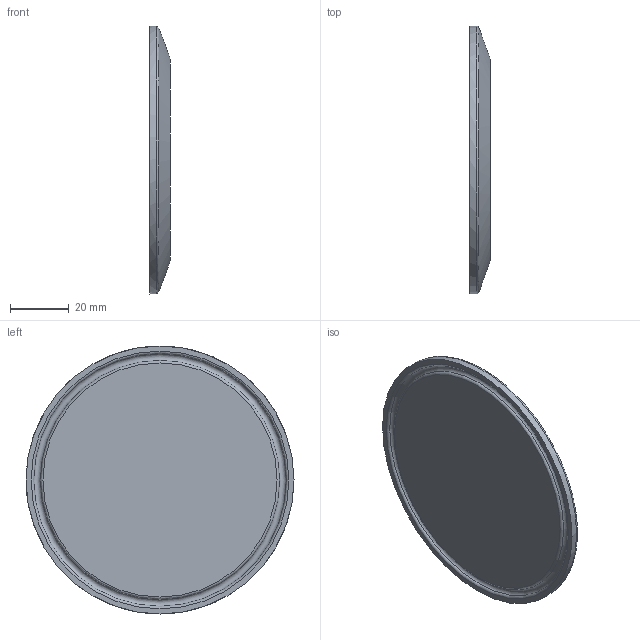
import cadquery as cq
import math

outer_radius = 91.0 / 2
thickness = 7.0

lip_thickness = 2.9
cone_angle = math.radians(20.0)
back_radius = outer_radius - (thickness - lip_thickness) / math.tan(cone_angle)
rim_fillet_radius = 1.0

groove_outer_radius = 87.5 / 2
groove_inner_radius = 79.5 / 2
groove_depth = 1.65
shoulder_radius = 0.85


def revolve_about_x(section):
    """Turn a closed half section, drawn in X and radius, fully about the X axis."""
    return section.revolve(360, (0, 0, 0), (1, 0, 0))


def make_disc():
    """Disc with a cylindrical lip, a rounded rim and a conical back."""
    half_section = (
        cq.Workplane("XY")
        .lineTo(0, outer_radius)
        .lineTo(lip_thickness, outer_radius)
        .lineTo(thickness, back_radius)
        .lineTo(thickness, 0)
        .close()
    )
    disc = revolve_about_x(half_section)
    reach = rim_fillet_radius / 2
    rim_corner = cq.selectors.BoxSelector(
        (lip_thickness - reach, -outer_radius, -outer_radius),
        (lip_thickness + reach, outer_radius, outer_radius),
    )
    return disc.edges(rim_corner).fillet(rim_fillet_radius)


def make_groove_ring():
    """Ring of material removed by the groove, with the same shoulder on both sides."""
    bottom_outer_radius = groove_outer_radius - shoulder_radius
    bottom_inner_radius = groove_inner_radius + shoulder_radius
    middle_radius = (groove_outer_radius + groove_inner_radius) / 2

    mid_depth = shoulder_radius * (1 - math.cos(math.pi / 4))
    mid_inset = shoulder_radius * math.sin(math.pi / 4)

    section = (
        cq.Workplane("XY")
        .moveTo(0, groove_outer_radius)
        .threePointArc(
            (mid_depth, groove_outer_radius - mid_inset),
            (shoulder_radius, bottom_outer_radius),
        )
        .threePointArc((groove_depth, middle_radius), (shoulder_radius, bottom_inner_radius))
        .threePointArc(
            (mid_depth, groove_inner_radius + mid_inset),
            (0, groove_inner_radius),
        )
        .close()
    )
    return revolve_about_x(section)


result = make_disc().cut(make_groove_ring())